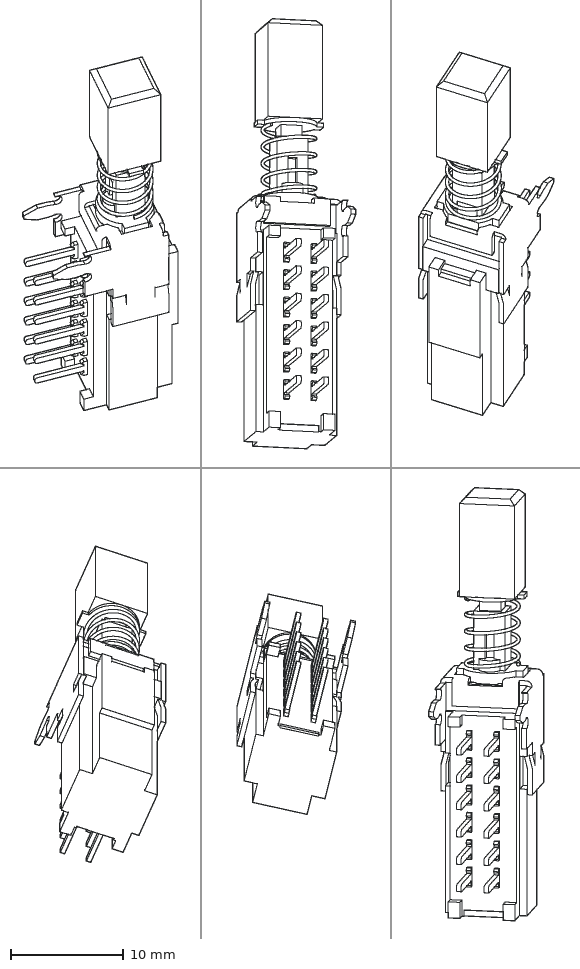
import cadquery as cq

housing_half = 3.7
front_half = 3.02
back_half = 2.5
housing_front = -2.85
pin_face = -4.08
standoff_face = -5.0
step_back = 1.75
housing_back = 3.55
rail_back = 4.1
rail_bottom = 7.5
rail_top = 16.7
rail_slot_half = 1.55
back_slot_drop = 0.38
rail_slot_drop = 0.75
ledge_top = 18.35
core_front = -2.45
core_top = 21.0
catch_bottom = 14.65
catch_top = 17.55
catch_back = 2.75
standoff_inner = 1.95
standoff_bottom_height = 1.47
standoff_top_height = 0.9
bottom_notch_half = 1.77
bottom_notch_height = 0.55
bottom_notch_depth = 0.15

pin_rows = 6
pin_pitch = 2.5
pin_x = pin_pitch / 2
pin_width = 0.4
pin_half_height = 0.35
pin_tip = -9.02
pin_tip_round = 0.23
first_pin_height = 3.65
shoulder_face = -4.4
shoulder_tip = -4.68
shoulder_half_height = 0.85
shoulder_tip_half_height = 0.68
shoulder_root_half_height = 0.5

sheet = 0.45
cover_half = housing_half + sheet
cover_top = 21.45
bend_radius = 0.53
side_edge = 2.65
top_front = housing_front
top_back = 2.15
side_bottom = 11.02
arm_bottom = 15.78
arm_top = cover_top - bend_radius
arm_end = -5.3
flap_face = -3.3
flap_bottom = 18.95
flap_bend = 0.4
flap_notch_half = 1.55
opening_radius = 2.7
opening_half_x = 3.15
opening_half_y = 1.47
prong_root = -5.15
prong_height = 19.25
prong_half = 0.65
prong_wide_half = 0.75
prong_wide_start = -5.95
prong_wide_end = -6.95
prong_tip = -8.23
prong_tip_half = 0.23
relief_radius = 0.5
window_bottom = 13.4
window_top = 14.6
window_depth = 1.3
tab_lean = 0.3
pocket_bottom = 11.55
pocket_top = 14.55
pocket_floor = 3.05

button_side = 5.0
button_top = 37.75
button_bottom = 28.75
button_chamfer = 0.5
disc_radius = button_side / 2
flange_thickness = 0.38
flange_tab_half_x = 3.02
flange_tab_half_y = 0.68
neck_side = 1.95
neck_bottom = 27.25
shaft_x = 2.87
shaft_y = 2.7
groove_width = 0.8
groove_depth = 0.55
groove_top = 25.35
collar_top = 21.95
collar_bottom = 20.9
collar_tab_half_y = 1.15
collar_radius = 2.65
collar_flat = 2.2
guide_radius = 1.0
guide_offset = 1.15
guide_top = 22.95
wire_radius = 0.15
spring_turns = 4
spring_radius = disc_radius - wire_radius
spring_lift = 0.35
spring_start = collar_top + spring_lift
spring_pitch = 1.5
spring_flat_angle = 215


def block(x0, x1, y0, y1, z0, z1):
    """Box between two opposite corners."""
    return cq.Workplane("XY").box(x1 - x0, y1 - y0, z1 - z0, centered=False).translate((x0, y0, z0))


def centred_block(half_x, y0, y1, z0, z1):
    """Box that is symmetric about X = 0."""
    return block(-half_x, half_x, y0, y1, z0, z1)


def side_profile(points, x_start, width):
    """Outline of (y, z) points extruded along +X from x_start."""
    return cq.Workplane("YZ", origin=(x_start, 0, 0)).polyline(points).close().extrude(width)


def both_sides(shape):
    """The shape together with its mirror image in X = 0."""
    return shape.union(shape.mirror("YZ"))


def make_housing():
    body = centred_block(housing_half, housing_front, step_back, 0, ledge_top)
    body = body.union(centred_block(front_half, pin_face, housing_front, 0, ledge_top))
    body = body.union(centred_block(back_half, step_back, housing_back, 0, rail_top))
    body = body.union(centred_block(housing_half, core_front, step_back, ledge_top, core_top))
    body = body.union(centred_block(housing_half, step_back, catch_back, catch_bottom, catch_top))
    body = body.union(centred_block(back_half, housing_back, rail_back, rail_bottom, rail_top))

    slot_steps = (
        (catch_back, housing_back, back_slot_drop),
        (housing_back, rail_back, rail_slot_drop),
    )
    for y0, y1, drop in slot_steps:
        body = body.cut(centred_block(rail_slot_half, y0, y1, rail_top - drop, rail_top))

    for z0, height in ((0, standoff_bottom_height), (ledge_top - standoff_top_height, standoff_top_height)):
        standoff = block(standoff_inner, front_half, standoff_face, pin_face, z0, z0 + height)
        body = body.union(both_sides(standoff))

    notch = centred_block(bottom_notch_half, pin_face, pin_face + bottom_notch_depth, 0, bottom_notch_height)
    pocket_back = -side_edge + window_depth
    pocket = block(pocket_floor, housing_half, housing_front, pocket_back, pocket_bottom, pocket_top)
    return body.cut(notch).cut(both_sides(pocket))


def make_pin():
    """One pin on the housing face, centred on X = Z = 0."""
    blade = block(-pin_width / 2, pin_width / 2, pin_tip, pin_face, -pin_half_height, pin_half_height)
    blade = blade.faces("<Y").edges("|X").fillet(pin_tip_round)
    upper = [
        (pin_face, shoulder_half_height),
        (shoulder_face, shoulder_half_height),
        (shoulder_tip, shoulder_tip_half_height),
        (shoulder_face, shoulder_root_half_height),
    ]
    lower = [(y, -z) for y, z in reversed(upper)]
    return blade.union(side_profile(upper + lower, -pin_width / 2, pin_width))


def make_pins():
    pin = make_pin()
    pins = cq.Workplane("XY")
    for row in range(pin_rows):
        for x in (-pin_x, pin_x):
            pins.add(pin.translate((x, 0, first_pin_height + row * pin_pitch)))
    return pins


def make_cover_side():
    """Side plate at +X with its solder prong and two bent tabs."""
    plate = block(housing_half, cover_half, -side_edge, side_edge, side_bottom, arm_top)
    plate = plate.union(block(housing_half, cover_half, arm_end, -side_edge, arm_bottom, arm_top))
    for z in (prong_height + prong_half + relief_radius, prong_height - prong_half - relief_radius):
        relief = cq.Workplane("YZ", origin=(housing_half, prong_root, z)).circle(relief_radius).extrude(sheet)
        plate = plate.cut(relief)

    upper = [
        (prong_root, prong_half),
        (prong_wide_start, prong_wide_half),
        (prong_wide_end, prong_wide_half),
        (prong_tip, prong_tip_half),
    ]
    outline = upper + [(y, -z) for y, z in reversed(upper)]
    outline = [(y, prong_height + z) for y, z in outline]
    plate = plate.union(side_profile(outline, housing_half, sheet))

    tab_outline = [
        (housing_half, window_bottom),
        (cover_half, window_bottom),
        (cover_half - tab_lean, window_top),
        (housing_half - tab_lean, window_top),
    ]
    for y in (-side_edge, side_edge - window_depth):
        window = block(housing_half, cover_half, y, y + window_depth, window_bottom, window_top)
        tab = cq.Workplane("XZ", origin=(0, y, 0)).polyline(tab_outline).close().extrude(-window_depth)
        plate = plate.cut(window).union(tab)
    return plate


def make_cover():
    plate_bottom = cover_top - sheet
    skirt_bottom = arm_top - sheet
    top = centred_block(cover_half, top_front, top_back, skirt_bottom, cover_top)
    top = top.edges("|Y and >Z").fillet(bend_radius)
    top = top.cut(centred_block(housing_half, top_front, top_back, skirt_bottom, plate_bottom))

    front_flap = centred_block(front_half, flap_face, top_front, flap_bottom, cover_top)
    front_flap = front_flap.edges("|X and <Y and >Z").fillet(flap_bend)
    back_flap = centred_block(front_half, top_back, side_edge, flap_bottom, cover_top)
    back_flap = back_flap.edges("|X and >Y and >Z").fillet(flap_bend)

    notch = centred_block(flap_notch_half, flap_face, side_edge, arm_top, cover_top)
    opening = cq.Workplane("XY", origin=(0, 0, arm_top)).circle(opening_radius).extrude(bend_radius)
    tab_opening = centred_block(opening_half_x, -opening_half_y, opening_half_y, arm_top, cover_top)
    opening = opening.union(tab_opening)
    cover = top.union(front_flap).union(back_flap).cut(notch).cut(opening)
    return cover.union(both_sides(make_cover_side()))


def tabbed_disc(radius, half_y, z0, z1):
    """Disc with a tab to either side in X."""
    disc = cq.Workplane("XY", origin=(0, 0, z0)).circle(radius).extrude(z1 - z0)
    return disc.union(centred_block(flange_tab_half_x, -half_y, half_y, z0, z1))


def make_plunger():
    button = centred_block(button_side / 2, -button_side / 2, button_side / 2, button_bottom, button_top)
    button = button.faces(">Z").chamfer(button_chamfer)
    flange = tabbed_disc(disc_radius, flange_tab_half_y, button_bottom - flange_thickness, button_bottom)
    neck = centred_block(neck_side / 2, -neck_side / 2, neck_side / 2, neck_bottom, button_bottom)

    shaft_front = -shaft_y / 2
    shaft = centred_block(shaft_x / 2, shaft_front, shaft_y / 2, collar_bottom, neck_bottom)
    groove = centred_block(groove_width / 2, shaft_front, shaft_front + groove_depth, collar_top, groove_top)
    shaft = shaft.cut(groove)

    collar = tabbed_disc(collar_radius, collar_tab_half_y, collar_bottom, collar_top)
    collar = collar.cut(centred_block(collar_radius, collar_flat, collar_radius, collar_bottom, collar_top))
    guides = cq.Workplane("XY", origin=(0, 0, collar_top)).pushPoints([(0, -guide_offset), (0, guide_offset)])
    guides = guides.circle(guide_radius).extrude(guide_top - collar_top)
    plunger = button.union(flange).union(neck).union(shaft)
    return plunger.union(collar).union(guides)


def wire_section():
    """Cross-section of the spring wire where the coil crosses the +X axis."""
    return cq.Workplane("XZ", origin=(spring_radius, 0, 0)).circle(wire_radius)


def make_spring():
    """Right-handed coil that starts with a flat end turn from +X round the +Y side."""
    path = cq.Wire.makeHelix(spring_pitch, spring_pitch * spring_turns, spring_radius)
    coil = wire_section().sweep(path, isFrenet=True).rotate((0, 0, 0), (0, 0, 1), spring_flat_angle)
    end_turn = wire_section().revolve(spring_flat_angle, (-spring_radius, 0, 0), (-spring_radius, 1, 0))
    return coil.union(end_turn).translate((0, 0, spring_start))


result = make_housing().union(make_cover()).union(make_plunger()).union(make_spring())
for pin_solid in make_pins().vals():
    result = result.union(pin_solid)